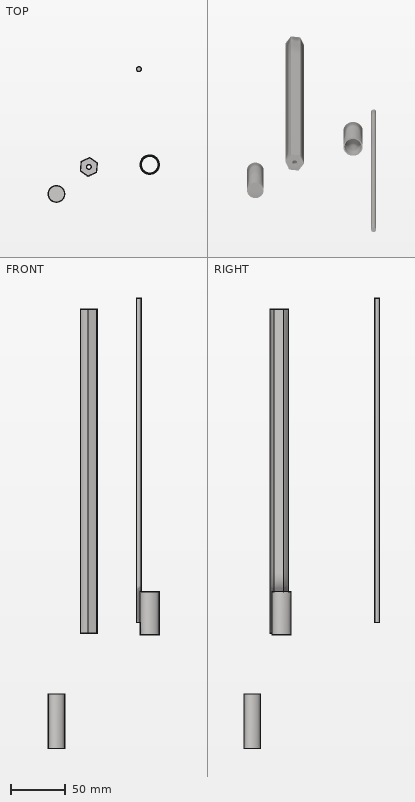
import cadquery as cq

overall_height = 417.0

rod_length = 300.0
rod_corner_diameter = 17.5
rod_bore_diameter = 4.0
rod_turn = -5.0

pin_diameter = 4.5
pin_length = rod_length
pin_x = 46.3
pin_y = 90.5
pin_bottom = 10.0

tube_outer_diameter = 18.0
tube_wall = 1.3
tube_length = 40.0
tube_x = 56.3
tube_y = 2.0
tube_bottom = -1.3

plug_diameter = 15.5
plug_length = 51.0
plug_x = -30.0
plug_y = -25.0
plug_bottom = pin_bottom + pin_length - overall_height


def cylinder(x, y, bottom, diameter, length):
    """Upright cylinder whose lower face is centred on (x, y, bottom)."""
    return cq.Workplane("XY", origin=(x, y, bottom)).circle(diameter / 2).extrude(length)


def make_rod():
    corner_on_y = 90.0
    hexagon = cq.Workplane("XY").polygon(6, rod_corner_diameter).extrude(rod_length)
    turned = hexagon.rotate((0, 0, 0), (0, 0, 1), corner_on_y + rod_turn)
    return turned.cut(cylinder(0, 0, 0, rod_bore_diameter, rod_length))


def make_pin():
    return cylinder(pin_x, pin_y, pin_bottom, pin_diameter, pin_length)


def make_tube():
    outside = cylinder(tube_x, tube_y, tube_bottom, tube_outer_diameter, tube_length)
    bore_diameter = tube_outer_diameter - 2 * tube_wall
    return outside.cut(cylinder(tube_x, tube_y, tube_bottom, bore_diameter, tube_length))


def make_plug():
    return cylinder(plug_x, plug_y, plug_bottom, plug_diameter, plug_length)


rod = make_rod()
pin = make_pin()
tube = make_tube()
plug = make_plug()

result = cq.Compound.makeCompound([rod.val(), pin.val(), tube.val(), plug.val()])